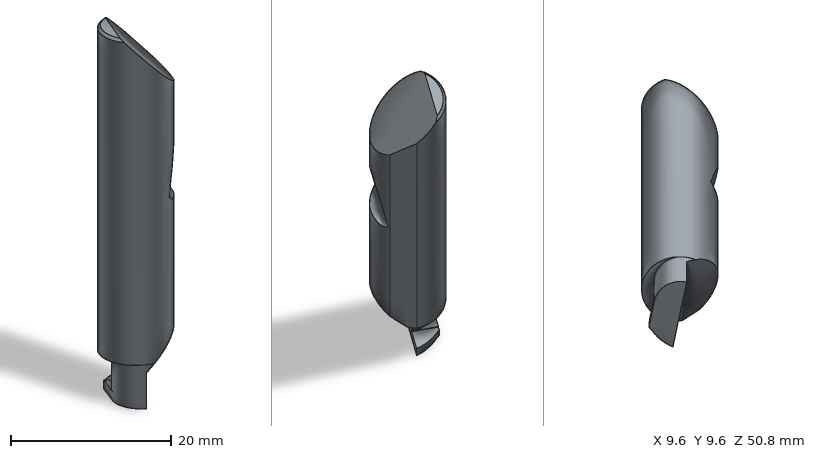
import cadquery as cq
import math

length = 50.8
shank_radius = 4.8
margin = 10.15

shoulder_z = 6.3
top_chamfer = 0.35
flat_end_y = 3.15
top_slope_start_y = -3.0
rake_runout_z = 5.2

notch_top_z = 36.7
notch_bottom_z = 27.6
notch_floor_y = 3.4
notch_floor_z = 28.6
notch_radius = 0.9

neck_radius = 3.43
neck_x = shank_radius - neck_radius
neck_left_x = neck_x - neck_radius
tooth_tip_x = -4.65
tooth_top_z = 1.6
tooth_front_y = -neck_radius
tooth_corner_x = -2.55
tooth_arc_end_x = -2.85
tooth_arc_end_y = -3.05
tooth_arc_bulge = -0.25
relief_angle = 3.0
bottom_tilt = 1.5


def profile_yz(points):
    """Closed YZ outline extruded right through the part along X."""
    return cq.Workplane("YZ").polyline(points).close().extrude(margin, both=True)


def make_shank():
    shank = cq.Workplane("XY").workplane(offset=shoulder_z).circle(shank_radius)
    shank = shank.extrude(length - shoulder_z).faces(">Z").chamfer(top_chamfer)
    flat_end_x = -math.sqrt(shank_radius**2 - flat_end_y**2)
    far_x = 2 * flat_end_x + shank_radius
    far_y = 2 * flat_end_y
    flat = (
        cq.Workplane("XY")
        .polyline([(-shank_radius, 0), (far_x, far_y), (-margin, far_y), (-margin, 0)])
        .close()
        .extrude(length)
    )
    return shank.cut(flat)


def make_top_slope():
    y = top_slope_start_y
    return profile_yz([(y, length), (y + 2 * margin, length - 2 * margin), (y + 2 * margin, length)])


def make_rake_relief():
    return profile_yz(
        [(0, -margin), (0, rake_runout_z), (margin, rake_runout_z + margin), (margin, -margin)]
    )


def make_notch():
    outside_y = shank_radius + neck_radius
    floor_slope = (shank_radius - notch_floor_y) / (notch_top_z - notch_floor_z)
    corner_y = notch_floor_y - floor_slope * (notch_floor_z - notch_bottom_z)
    outside_z = notch_top_z + (outside_y - shank_radius) / floor_slope
    notch = profile_yz(
        [(corner_y, notch_bottom_z), (outside_y, outside_z), (outside_y, notch_bottom_z)]
    )
    return notch.edges("|X").edges("<Y").fillet(notch_radius)


def make_neck():
    return cq.Workplane("XY").center(neck_x, 0).circle(neck_radius).extrude(shoulder_z)


def make_tooth():
    tooth = (
        cq.Workplane("XY")
        .moveTo(tooth_tip_x, 0)
        .sagittaArc((tooth_arc_end_x, tooth_arc_end_y), tooth_arc_bulge)
        .lineTo(tooth_corner_x, tooth_front_y)
        .lineTo(neck_x, tooth_front_y)
        .lineTo(neck_x, 0)
        .close()
        .extrude(tooth_top_z)
    )
    drop = margin * math.tan(math.radians(relief_angle))
    upper_relief = (
        cq.Workplane("YZ")
        .workplane(offset=neck_left_x)
        .polyline([(0, tooth_top_z), (-margin, tooth_top_z - drop), (-margin, tooth_top_z)])
        .close()
        .extrude(-margin)
    )
    return tooth.cut(upper_relief)


def make_bottom_relief():
    """Block below the end face, which rises toward +X and -Y from the tooth tip."""
    rise_x = math.tan(math.radians(bottom_tilt))
    rise_y = math.tan(math.radians(relief_angle))
    end_plane = cq.Plane(origin=(tooth_tip_x, 0, 0), xDir=(1, 0, rise_x), normal=(-rise_x, rise_y, 1))
    return cq.Workplane(end_plane).rect(3 * margin, 3 * margin).extrude(-margin)


shank = make_shank().cut(make_top_slope()).cut(make_notch())
result = (
    shank.union(make_neck())
    .union(make_tooth())
    .cut(make_rake_relief())
    .cut(make_bottom_relief())
)